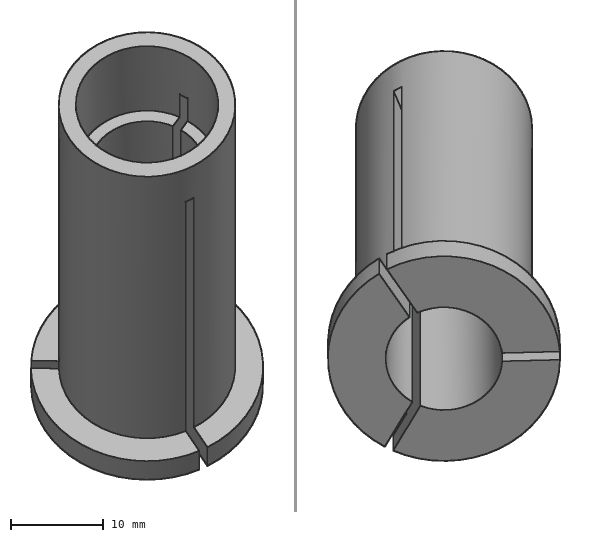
import cadquery as cq

total_height = 52.5
tube_diameter = 19.0
flange_diameter = 25.0
flange_height = 3.5

grip_diameter = 12.55
socket_diameter = 15.35
socket_depth = 12.1

slit_count = 3
slit_width = 1.0
slit_top = 46.45
first_slit_angle = 90.0


def cylinder(diameter, height, base=0.0):
    """Upright cylinder centred on the Z axis, starting at the base height."""
    return cq.Workplane("XY").workplane(offset=base).circle(diameter / 2).extrude(height)


def slit(angle):
    """Radial cutter from the axis outwards, with a roof falling at 45 degrees towards the axis."""
    tube_radius = tube_diameter / 2
    outer_reach = flange_diameter
    profile = [
        (0, 0),
        (outer_reach, 0),
        (outer_reach, slit_top),
        (tube_radius, slit_top),
        (0, slit_top - tube_radius),
    ]
    blade = cq.Workplane("XZ").polyline(profile).close().extrude(slit_width / 2, both=True)
    return blade.rotate((0, 0, 0), (0, 0, 1), angle)


body = cylinder(tube_diameter, total_height).union(cylinder(flange_diameter, flange_height))

body = body.cut(cylinder(grip_diameter, total_height))
body = body.cut(cylinder(socket_diameter, socket_depth, total_height - socket_depth))

for index in range(slit_count):
    body = body.cut(slit(first_slit_angle + index * 360.0 / slit_count))

result = body